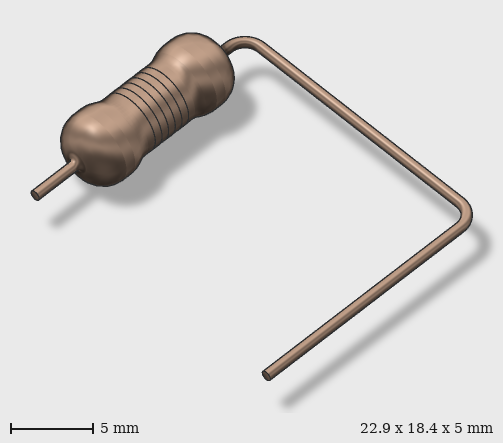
import cadquery as cq

lead_diameter = 0.7
lead_pitch = 20.0
lead_top_y = 18.0
bend_radius = 2 * lead_diameter

body_center_y = 9.625
body_length = 12.0
cap_diameter = 5.0
cap_dome_length = 1.75
cap_band_length = 0.75
shoulder_length = 1.5
neck_diameter = 4.25
lead_flare_radius = 0.45

band_diameter = 4.27
band_count = 3

lead_radius = lead_diameter / 2
cap_radius = cap_diameter / 2
neck_radius = neck_diameter / 2
shoulder_mid_radius = (cap_radius + neck_radius) / 2
flare_base_radius = lead_radius + lead_flare_radius

end_face = body_length / 2
flare_end = end_face + lead_flare_radius
dome_start = end_face - cap_dome_length
cap_start = dome_start - cap_band_length
shoulder_middle = cap_start - shoulder_length / 2
neck_end = cap_start - shoulder_length

band_width = 2 * neck_end / (2 * band_count + 1)


def make_half_body():
    """Half of the body on the +Y side of its middle plane, centred on the origin."""
    profile = (
        cq.Workplane("XY")
        .lineTo(neck_radius, 0)
        .lineTo(neck_radius, neck_end)
        .tangentArcPoint((shoulder_mid_radius, shoulder_middle), relative=False)
        .tangentArcPoint((cap_radius, cap_start), relative=False)
        .lineTo(cap_radius, dome_start)
        .tangentArcPoint((flare_base_radius, end_face), relative=False)
        .radiusArc((lead_radius, flare_end), lead_flare_radius)
        .lineTo(0, flare_end)
        .close()
    )
    return profile.revolve(360, (0, 0, 0), (0, 1, 0))


def make_body():
    """Dumbbell body with a domed cap and a lead flare at each end."""
    upper_half = make_half_body()
    lower_half = upper_half.mirror("XZ")
    return upper_half.union(lower_half).translate((0, body_center_y, 0))


def make_band(index):
    """One colour band around the neck, counted from the -Y side."""
    offset = (index - (band_count - 1) / 2) * 2 * band_width
    upper_edge = body_center_y + offset + band_width / 2
    return cq.Workplane("XZ", origin=(0, upper_edge, 0)).circle(band_diameter / 2).extrude(band_width)


def make_lead():
    """Round wire running through the body and bent back to Y = 0."""
    path = (
        cq.Workplane("XY")
        .lineTo(0, lead_top_y - bend_radius)
        .tangentArcPoint((bend_radius, bend_radius))
        .lineTo(lead_pitch - bend_radius, lead_top_y)
        .tangentArcPoint((bend_radius, -bend_radius))
        .lineTo(lead_pitch, 0)
    )
    return cq.Workplane("XZ").circle(lead_radius).sweep(path)


result = make_body().union(make_lead())
for band_index in range(band_count):
    result = result.union(make_band(band_index))